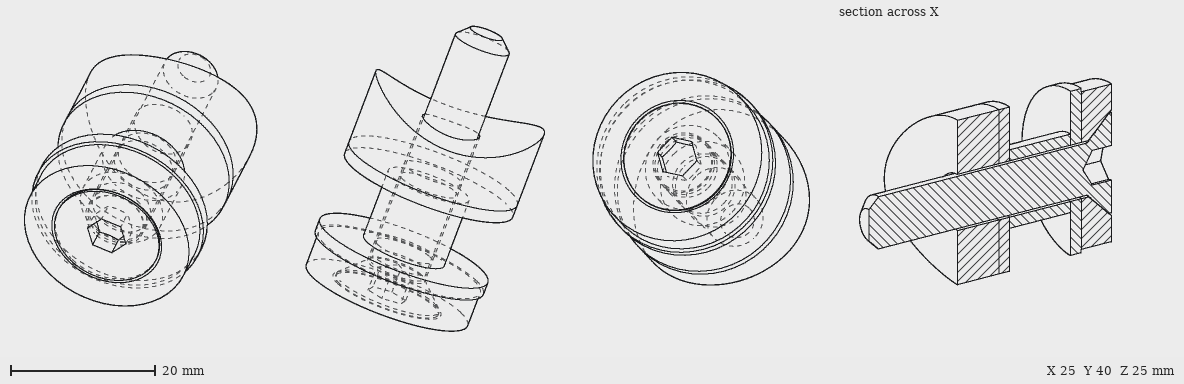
import cadquery as cq
import math

overall_length = 40.0
disc_diameter = 25.0

cap_thickness = 5.0
gasket_thickness = 1.8
sleeve_length = 10.0
saddle_waist = 6.8

cap_diameter = 24.0
sleeve_diameter = 12.0
clearance_diameter = 8.5
tube_radius = 21.2

screw_diameter = 8.0
head_diameter = 15.25
countersink_diameter = 16.0
screw_tip_length = 1.6
screw_tip_diameter = 4.8
hex_across_flats = 5.0
hex_depth = 3.0
hex_turn = -15.0
drill_point_angle = 120.0

front_gasket_y = cap_thickness
sleeve_y = front_gasket_y + gasket_thickness
rear_gasket_y = sleeve_y + sleeve_length
saddle_y = rear_gasket_y + gasket_thickness
saddle_back_y = saddle_y + saddle_waist
seat_contact_y = (countersink_diameter - head_diameter) / 2


def cylinder(diameter, start_y, length):
    """Solid cylinder on the Y axis, running toward +Y."""
    base = cq.Workplane("XZ", origin=(0, start_y, 0))
    return base.circle(diameter / 2).extrude(-length)


def revolved(profile):
    """Turn a closed (radius, Y) profile about the Y axis."""
    return cq.Workplane("XY").polyline(profile).close().revolve(360, (0, 0, 0), (0, 1, 0))


def ring(diameter, start_y, length):
    """Disc or tube with the clearance hole for the screw."""
    return cylinder(diameter, start_y, length).cut(cylinder(clearance_diameter, start_y, length))


def make_cap():
    seat_radius = countersink_diameter / 2
    hole_radius = clearance_diameter / 2
    return revolved([
        (seat_radius, 0),
        (cap_diameter / 2, 0),
        (cap_diameter / 2, cap_thickness),
        (hole_radius, cap_thickness),
        (hole_radius, seat_radius - hole_radius),
    ])


def make_gasket(start_y):
    return ring(disc_diameter, start_y, gasket_thickness)


def make_sleeve():
    return ring(sleeve_diameter, sleeve_y, sleeve_length)


def make_saddle():
    half_width = disc_diameter / 2
    horn_height = tube_radius - math.sqrt(tube_radius**2 - half_width**2)
    blank = ring(disc_diameter, saddle_y, saddle_waist + horn_height)
    tube = (
        cq.Workplane("XY")
        .center(0, saddle_back_y + tube_radius)
        .circle(tube_radius)
        .extrude(half_width, both=True)
    )
    return blank.cut(tube)


def make_hex_socket():
    """Hexagonal hole ending in a conical drill point."""
    corner_diameter = hex_across_flats / math.cos(math.radians(30))
    corner_radius = corner_diameter / 2
    point_length = corner_radius / math.tan(math.radians(drill_point_angle / 2))
    prism = (
        cq.Workplane("XZ")
        .polygon(6, corner_diameter)
        .extrude(-(hex_depth + point_length))
        .rotate((0, 0, 0), (0, 1, 0), -hex_turn)
    )
    drill = revolved([
        (0, 0),
        (corner_radius, 0),
        (corner_radius, hex_depth),
        (0, hex_depth + point_length),
    ])
    return prism.intersect(drill)


def make_screw():
    head_radius = head_diameter / 2
    shank_radius = screw_diameter / 2
    body = revolved([
        (0, 0),
        (head_radius, 0),
        (head_radius, seat_contact_y),
        (shank_radius, seat_contact_y + head_radius - shank_radius),
        (shank_radius, overall_length - screw_tip_length),
        (screw_tip_diameter / 2, overall_length),
        (0, overall_length),
    ])
    return body.cut(make_hex_socket())


cap = make_cap()
gaskets = [make_gasket(start_y) for start_y in (front_gasket_y, rear_gasket_y)]
sleeve = make_sleeve()
saddle = make_saddle()
screw = make_screw()

result = cq.Compound.makeCompound([
    cap.val(),
    *[gasket.val() for gasket in gaskets],
    sleeve.val(),
    saddle.val(),
    screw.val(),
])